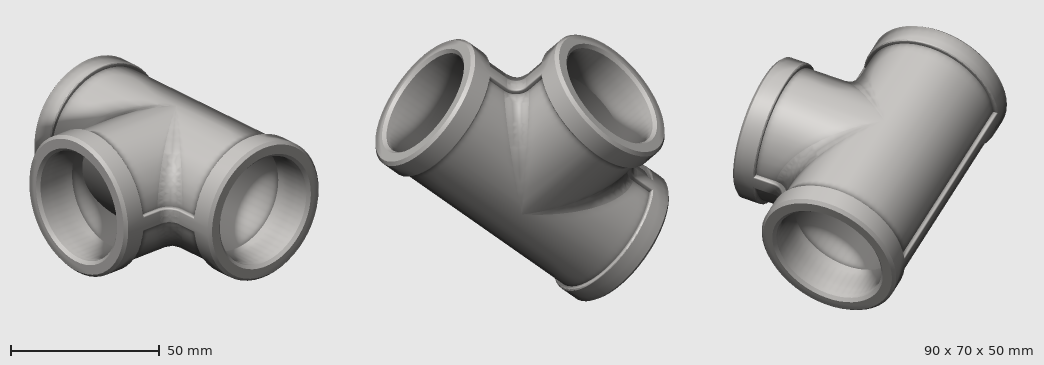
import cadquery as cq

run_length = 90.0
collar_diameter = 50.0
collar_length = 8.3
body_diameter = 47.0
rib_width = 5.5
body_crotch_radius = 6.0
edge_rounding = 0.495
mouth_chamfer = 1.1

bore_diameter = 39.0
bore_depth = 15.3
chamber_diameter = 42.6

mouth_reach = run_length / 2
collar_start = mouth_reach - collar_length
chamber_reach = mouth_reach - bore_depth
collar_height = (collar_diameter - body_diameter) / 2
rib_crotch_radius = body_crotch_radius - collar_height

tolerance = 0.01


def run_cylinder(diameter, reach):
    """Cylinder along X, reaching equally far to both sides of the crossing point."""
    return cq.Workplane("YZ").circle(diameter / 2).extrude(reach, both=True)


def branch_cylinder(diameter, reach):
    """Cylinder from the crossing point toward -Y."""
    return cq.Workplane("XZ").circle(diameter / 2).extrude(reach)


def rounded_tee(diameter, crotch_radius):
    """Solid tee whose two crotches between run and branch are filleted."""
    tee = run_cylinder(diameter, mouth_reach).union(branch_cylinder(diameter, mouth_reach))
    return tee.edges("%ELLIPSE").fillet(crotch_radius)


def collars_and_ribs(body):
    """Collars at the three mouths, joined by a rib around the outline of the tee's middle plane."""
    span = 2 * run_length
    kept = cq.Workplane("XY").box(span, span, rib_width)
    collar_slab = cq.Workplane("XY").box(collar_length, span, span)
    collar_middle = mouth_reach - collar_length / 2
    for angle in (0, 180, 270):
        slab = collar_slab.translate((collar_middle, 0, 0)).rotate((0, 0, 0), (0, 0, 1), angle)
        kept = kept.union(slab)
    raised = rounded_tee(collar_diameter, rib_crotch_radius).intersect(kept)

    def is_exposed_edge(edge):
        """True for edges along the ribs and the inner ends of the collars, outside the body."""
        middle = edge.positionAt(0.5)
        clear_of_mouths = max(abs(middle.x), -middle.y) < collar_start + tolerance
        clear_of_rib_face = abs(middle.z) > rib_width / 2 - tolerance
        return clear_of_mouths and clear_of_rib_face and not body.val().isInside(middle)

    return raised.edges().filter(is_exposed_edge).fillet(edge_rounding)


def run_cavity():
    """Bore through the run, widened to a chamber in the middle."""
    return run_cylinder(bore_diameter, mouth_reach).union(run_cylinder(chamber_diameter, chamber_reach))


def branch_cavity():
    """Bore and wider chamber of the branch, stopping at the outer wall of the run."""
    cavity = branch_cylinder(bore_diameter, mouth_reach)
    cavity = cavity.union(branch_cylinder(chamber_diameter, chamber_reach))
    return cavity.cut(run_cylinder(body_diameter, mouth_reach))


body = rounded_tee(body_diameter, body_crotch_radius)
fitting = body.union(collars_and_ribs(body)).cut(run_cavity()).cut(branch_cavity())
result = fitting.faces("<X or >X or <Y").edges().chamfer(mouth_chamfer)